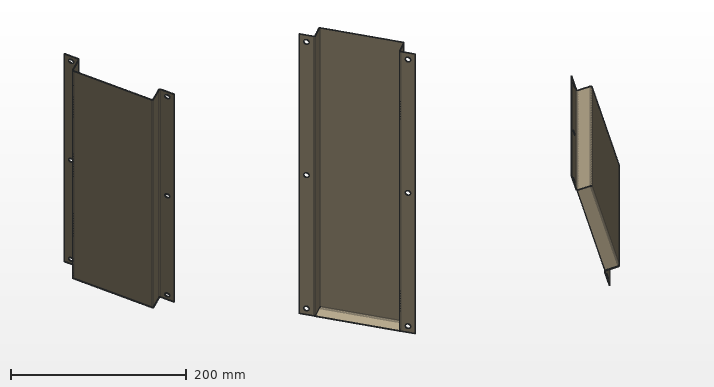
import cadquery as cq

width = 137.8
depth = 19.0
height = 393.7

sheet = 1.0
inner_bend = 1.0
outer_bend = inner_bend + sheet

channel_width = 101.5
hole_diameter = 6.3
hole_inset = 8.5
top_hole_inset = 9.5
flange_height = height - sheet
wall_x = channel_width / 2
front_y = -depth / 2
back_y = depth / 2
flange_front_y = back_y - sheet


def block(x_min, x_max, y_min, y_max, z_min, z_max):
    """Box given by its limits along each axis."""
    size = (x_max - x_min, y_max - y_min, z_max - z_min)
    return cq.Workplane("XY").box(*size, centered=False).translate((x_min, y_min, z_min))


def round_front(body, radius):
    """Round the front edges along both side walls and along the floor."""
    return body.edges("(<Y and |Z) or (<Y and <Z)").fillet(radius)


def channel():
    """Tray with a front panel, side walls and floor, open at the back and top."""
    outer = block(-wall_x, wall_x, front_y, flange_front_y, 0, height)
    inner_x = wall_x - sheet
    cavity = block(-inner_x, inner_x, front_y + sheet, back_y, sheet, height + sheet)
    return round_front(outer, outer_bend).cut(round_front(cavity, inner_bend))


def flange():
    """Right-hand flange with its bend into the side wall."""
    inner_x = wall_x - sheet
    bend_x = wall_x + inner_bend
    bend_y = flange_front_y - inner_bend
    profile = (
        cq.Workplane("XY")
        .moveTo(inner_x, bend_y)
        .lineTo(wall_x, bend_y)
        .radiusArc((bend_x, flange_front_y), inner_bend)
        .lineTo(width / 2, flange_front_y)
        .lineTo(width / 2, back_y)
        .lineTo(bend_x, back_y)
        .radiusArc((inner_x, bend_y), -outer_bend)
        .close()
    )
    return profile.extrude(flange_height).translate((0, 0, sheet))


def bend_clearance():
    """Cut the square back corner of the side wall to make room for the bend."""
    bend_y = flange_front_y - inner_bend
    return block(wall_x - sheet, wall_x, bend_y, back_y, sheet, height)


def mounting_holes():
    """Three holes down each flange: near both ends and halfway."""
    hole_x = width / 2 - hole_inset
    low_z = sheet + hole_inset
    high_z = height - top_hole_inset
    heights = (low_z, (low_z + high_z) / 2, high_z)
    points = [(x, z) for x in (-hole_x, hole_x) for z in heights]
    return (
        cq.Workplane("XZ", origin=(0, back_y, 0))
        .pushPoints(points)
        .circle(hole_diameter / 2)
        .extrude(sheet)
    )


result = channel()
clearance = bend_clearance()
right_flange = flange()
result = result.cut(clearance).cut(clearance.mirror("YZ"))
result = result.union(right_flange).union(right_flange.mirror("YZ"))
result = result.cut(mounting_holes())